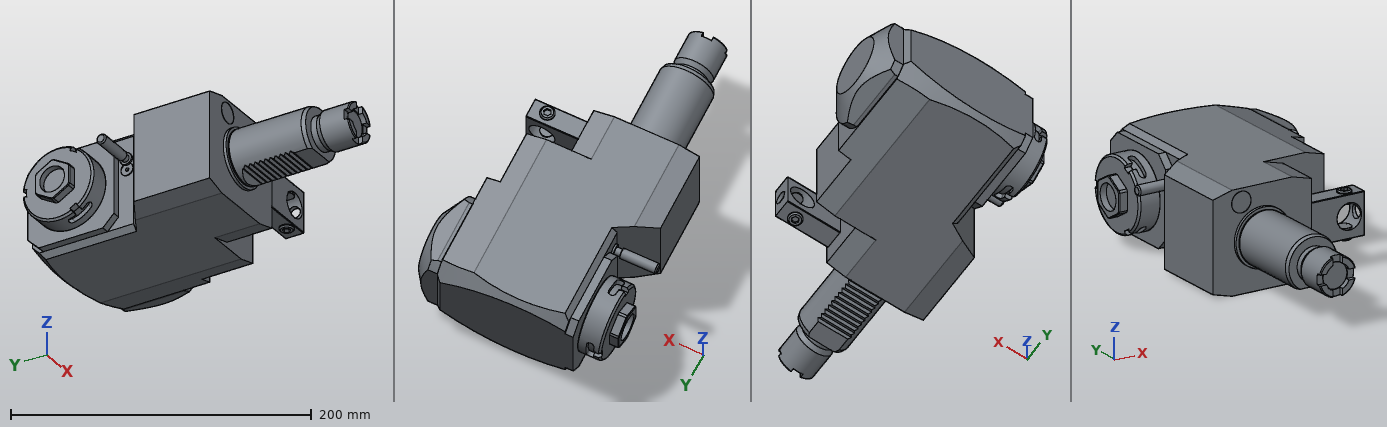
import cadquery as cq
import math


OVERALL_LENGTH = 247.0

HALF_HEIGHT = 37.5
LEFT_X = -38.8
FOOT_RIGHT_X = 39.5
WAIST_RIGHT_X = 72.1
HEAD_LEFT_X = -14.3
HEAD_RIGHT_X = 82.0
WAIST_Y = 35.0
HEAD_Y = 74.8
TOP_Y = 154.0
SIDE_TAPER = math.tan(math.radians(15))
FOOT_TAPER_RUN = 15.3
HEAD_TAPER_X = 57.3
HEAD_BEVEL = 4.0
SLANT_Y = 59.3
CORNER_BEVEL = 3.7
CROWN_RADIUS = 123.5
CROWN_X = 22.2
CROWN_HALF_HEIGHT = HALF_HEIGHT - HEAD_BEVEL

SPINDLE_Y = 120.0
PLATE_THICKNESS = 6.0
PLATE_HALF_HEIGHT = HALF_HEIGHT - HEAD_BEVEL
PLATE_BOTTOM_Y = 86.5
PLATE_BEVEL = 8.6
NUT_RADIUS = 27.7
NUT_LENGTH = 17.0
NUT_BEVEL = 1.5
NUT_BASE_BEVEL = 0.5
NUT_SLOT_DEPTH = 3.5
NUT_SLOT_WIDTH = 5.5
NUT_SLOT_OFFSET = 5.2
NUT_SLOT_LENGTH = 19.8
HEX_FLATS = 27.0
HEX_LENGTH = 6.7
HEX_CORNER_BEVEL = 1.1
HEX_FACE_BEVEL = 0.62
HEX_BORE_RADIUS = 9.6
HEX_BORE_DEPTH = 5.0

CAP_RADIUS = 38.0
CAP_END_RADIUS = 21.7
CAP_RIM_LENGTH = 7.0
CAP_LENGTH = 18.0
CAP_HALF_HEIGHT = 29.6
CAP_FLAT_LENGTH = 2.7

PIN_Y = 80.0
PIN_Z = 17.3
PIN_RADIUS = 3.7
PIN_TIP_X = -47.2
PIN_BEVEL = 1.0
PIN_NECK_RADIUS = 2.7
PIN_NECK_LENGTH = 4.5
PIN_COLLAR_RADIUS = 4.5
PIN_COLLAR_LENGTH = 1.5
PORT_Z = 10.0
PORT_RADIUS = 4.7
PORT_DEPTH = 0.5
NOZZLE_RADIUS = 1.2
NOZZLE_DEPTH = 2.5

FLANGE_RADIUS = 21.7
FLANGE_LENGTH = 2.2
UNDERCUT_RADIUS = 19.5
UNDERCUT_END_Y = -3.2
SHANK_RADIUS = 20.0
SHANK_END_Y = -62.7
SHANK_BEVEL = 1.0
SHANK_BEVEL_LENGTH = 3.0
RACK_FLAT_Z = -16.0
RACK_RAMP_Y = -5.2
RACK_PITCH = 4.0
RACK_TOOTH_DEPTH = 1.2
RACK_START_Y = -11.9
RACK_TEETH = 10

NECK_RADIUS = 12.5
NECK_END_Y = -67.2
COUPLING_RADIUS = 14.5
COUPLING_SHOULDER_Y = -71.0
COUPLING_END_Y = TOP_Y - OVERALL_LENGTH
COUPLING_BEVEL = 0.7
COUPLING_BORE_RADIUS = 9.6
COUPLING_BORE_DEPTH = 4.0
DRIVE_SLOT_WIDTH = 7.7
DRIVE_SLOT_DEPTH = 3.2

PLUG_X = -16.0
PLUG_Z = 27.7
PLUG_RADIUS = 7.7
PLUG_DEPTH = 0.2

ARM_BOTTOM_Y = 1.2
ARM_TOP_Y = 15.8
ARM_HALF_HEIGHT = 15.8
ARM_BEVEL = 0.5
ARM_HOLE_X = 70.1
ARM_HOLE_RADIUS = 9.6
SIDE_HOLE_RADIUS = 4.7
SCREW_Y = 7.5
SCREW_RADIUS = 5.2
SCREW_INNER_Z = 8.5
SCREW_OUTER_Z = 17.5
SCREW_BEVEL = 1.0
SOCKET_FLATS = 4.7
SOCKET_DEPTH = 5.0


def x_cylinder(radius, x_start, x_end, y, z):
    return cq.Workplane("YZ", origin=(x_start, y, z)).circle(radius).extrude(x_end - x_start)


def y_cylinder(radius, y_start, y_end, x, z):
    return cq.Workplane("XZ", origin=(x, y_start, z)).circle(radius).extrude(y_start - y_end)


def bar(y_start, y_end, left, right):
    """Bar along Y, symmetric about Z = 0; left and right each hold (side X, shoulder X, side half height)."""
    left_x, left_shoulder, left_z = left
    right_x, right_shoulder, right_z = right
    outline = [
        (left_x, -left_z),
        (left_shoulder, -HALF_HEIGHT),
        (right_shoulder, -HALF_HEIGHT),
        (right_x, -right_z),
        (right_x, right_z),
        (right_shoulder, HALF_HEIGHT),
        (left_shoulder, HALF_HEIGHT),
        (left_x, left_z),
    ]
    return cq.Workplane("XZ", origin=(0, y_start, 0)).polyline(outline).close().extrude(y_start - y_end)


def tapered_side(side_x, shoulder_x):
    return side_x, shoulder_x, HALF_HEIGHT - abs(side_x - shoulder_x) * SIDE_TAPER


def make_housing():
    foot_left = tapered_side(LEFT_X, LEFT_X + FOOT_TAPER_RUN)
    foot_right = tapered_side(FOOT_RIGHT_X, FOOT_RIGHT_X - FOOT_TAPER_RUN)
    waist_right = tapered_side(WAIST_RIGHT_X, HEAD_TAPER_X)
    head_left = (HEAD_LEFT_X, HEAD_LEFT_X + HEAD_BEVEL, HALF_HEIGHT - HEAD_BEVEL)
    head_right = tapered_side(HEAD_RIGHT_X, HEAD_TAPER_X)

    slant = (
        cq.Workplane("XY", origin=(0, 0, -HALF_HEIGHT))
        .polyline([(LEFT_X, SLANT_Y), (HEAD_LEFT_X + HEAD_BEVEL, HEAD_Y), (LEFT_X, HEAD_Y)])
        .close()
        .extrude(2 * HALF_HEIGHT)
    )
    corner = (
        cq.Workplane("XY", origin=(0, 0, -HALF_HEIGHT))
        .polyline([
            (HEAD_RIGHT_X, TOP_Y),
            (HEAD_RIGHT_X - CORNER_BEVEL, TOP_Y),
            (HEAD_RIGHT_X, TOP_Y - CORNER_BEVEL),
        ])
        .close()
        .extrude(2 * HALF_HEIGHT)
    )
    waist = bar(WAIST_Y, HEAD_Y, foot_left, waist_right).cut(slant)
    head = bar(HEAD_Y, TOP_Y, head_left, head_right).cut(corner)

    head_length = TOP_Y - HEAD_Y
    for side in (1, -1):
        crown = cq.Solid.makeCone(
            CROWN_RADIUS + head_length,
            CROWN_RADIUS,
            head_length,
            pnt=cq.Vector(CROWN_X, HEAD_Y, side * (CROWN_HALF_HEIGHT - CROWN_RADIUS)),
            dir=cq.Vector(0, 1, 0),
        )
        head = head.intersect(cq.Workplane(crown))

    plug = y_cylinder(PLUG_RADIUS, 0, PLUG_DEPTH, PLUG_X, PLUG_Z)
    return bar(0, WAIST_Y, foot_left, foot_right).cut(plug).union(waist).union(head)


def make_plate():
    return (
        cq.Workplane("YZ", origin=(HEAD_LEFT_X, (TOP_Y + PLATE_BOTTOM_Y) / 2, 0))
        .rect(TOP_Y - PLATE_BOTTOM_Y, 2 * PLATE_HALF_HEIGHT)
        .extrude(-PLATE_THICKNESS)
        .edges("|X")
        .chamfer(PLATE_BEVEL)
    )


def make_nut():
    base_x = HEAD_LEFT_X - PLATE_THICKNESS
    face_x = base_x - NUT_LENGTH
    nut = (
        x_cylinder(NUT_RADIUS, base_x, face_x, SPINDLE_Y, 0)
        .faces("<X")
        .chamfer(NUT_BEVEL)
        .faces(">X")
        .chamfer(NUT_BASE_BEVEL)
    )

    floor_radius = NUT_RADIUS - NUT_SLOT_DEPTH
    slot_x = face_x + NUT_SLOT_OFFSET + NUT_SLOT_WIDTH / 2
    reach = 2 * NUT_RADIUS
    core = x_cylinder(floor_radius, base_x, face_x, 0, 0)
    slot = (
        cq.Workplane("XZ", origin=(slot_x, 0, 0))
        .slot2D(NUT_SLOT_LENGTH, NUT_SLOT_WIDTH, 90)
        .extrude(-reach)
        .cut(core)
    )
    notch = (
        cq.Workplane("XY")
        .box(NUT_SLOT_OFFSET + NUT_SLOT_WIDTH / 2, reach, NUT_SLOT_WIDTH, centered=(False, False, True))
        .translate((face_x, floor_radius, 0))
    )
    slot = slot.union(notch)
    for angle in (0, 120, 240):
        nut = nut.cut(slot.rotate((0, 0, 0), (1, 0, 0), angle).translate((0, SPINDLE_Y, 0)))

    hexagon = (
        cq.Workplane("YZ", origin=(face_x, SPINDLE_Y, 0))
        .transformed(rotate=(0, 0, 90))
        .polygon(6, HEX_FLATS / math.cos(math.pi / 6))
        .extrude(-HEX_LENGTH)
        .edges("|X")
        .chamfer(HEX_CORNER_BEVEL)
        .faces("<X")
        .chamfer(HEX_FACE_BEVEL)
    )
    end_x = face_x - HEX_LENGTH
    bore = x_cylinder(HEX_BORE_RADIUS, end_x, end_x + HEX_BORE_DEPTH, SPINDLE_Y, 0)
    return nut.union(hexagon).cut(bore)


def make_cap():
    dome = (
        cq.Workplane("XY")
        .polyline([
            (HEAD_RIGHT_X, SPINDLE_Y),
            (HEAD_RIGHT_X, SPINDLE_Y + CAP_RADIUS),
            (HEAD_RIGHT_X + CAP_RIM_LENGTH, SPINDLE_Y + CAP_RADIUS),
            (HEAD_RIGHT_X + CAP_LENGTH, SPINDLE_Y + CAP_END_RADIUS),
            (HEAD_RIGHT_X + CAP_LENGTH, SPINDLE_Y),
        ])
        .close()
        .revolve(360, (0, SPINDLE_Y, 0), (1, SPINDLE_Y, 0))
    )
    end_half_height = CAP_HALF_HEIGHT - (CAP_LENGTH - CAP_FLAT_LENGTH) * SIDE_TAPER
    envelope = (
        cq.Workplane("XZ", origin=(HEAD_RIGHT_X, TOP_Y - CORNER_BEVEL, 0))
        .polyline([
            (0, -CAP_HALF_HEIGHT),
            (CAP_FLAT_LENGTH, -CAP_HALF_HEIGHT),
            (CAP_LENGTH, -end_half_height),
            (CAP_LENGTH, end_half_height),
            (CAP_FLAT_LENGTH, CAP_HALF_HEIGHT),
            (0, CAP_HALF_HEIGHT),
        ])
        .close()
        .extrude(TOP_Y)
    )
    return dome.intersect(envelope)


def make_pin():
    collar_x = HEAD_LEFT_X - PIN_COLLAR_LENGTH
    neck_x = collar_x - PIN_NECK_LENGTH
    collar = x_cylinder(PIN_COLLAR_RADIUS, HEAD_LEFT_X, collar_x, PIN_Y, PIN_Z)
    neck = x_cylinder(PIN_NECK_RADIUS, collar_x, neck_x, PIN_Y, PIN_Z)
    rod = x_cylinder(PIN_RADIUS, neck_x, PIN_TIP_X, PIN_Y, PIN_Z).faces("<X").chamfer(PIN_BEVEL)
    return collar.union(neck).union(rod)


def make_shank():
    shank = (
        cq.Workplane("XY")
        .polyline([
            (0, 0),
            (FLANGE_RADIUS, 0),
            (FLANGE_RADIUS, -FLANGE_LENGTH),
            (UNDERCUT_RADIUS, -FLANGE_LENGTH),
            (UNDERCUT_RADIUS, UNDERCUT_END_Y),
            (SHANK_RADIUS, UNDERCUT_END_Y),
            (SHANK_RADIUS, SHANK_END_Y + SHANK_BEVEL_LENGTH),
            (SHANK_RADIUS - SHANK_BEVEL, SHANK_END_Y),
            (NECK_RADIUS, SHANK_END_Y),
            (NECK_RADIUS, NECK_END_Y),
            (COUPLING_RADIUS, COUPLING_SHOULDER_Y),
            (COUPLING_RADIUS, COUPLING_END_Y + COUPLING_BEVEL),
            (COUPLING_RADIUS - COUPLING_BEVEL, COUPLING_END_Y),
            (0, COUPLING_END_Y),
        ])
        .close()
        .revolve(360, (0, 0, 0), (0, 1, 0))
    )

    below_z = -SHANK_RADIUS
    ramp = RACK_FLAT_Z - below_z
    flat = (
        cq.Workplane("YZ", origin=(-SHANK_RADIUS, 0, 0))
        .polyline([
            (RACK_RAMP_Y, below_z),
            (RACK_RAMP_Y - ramp, RACK_FLAT_Z),
            (SHANK_END_Y, RACK_FLAT_Z),
            (SHANK_END_Y, below_z),
        ])
        .close()
        .extrude(2 * SHANK_RADIUS)
    )
    shank = shank.cut(flat)
    for tooth in range(RACK_TEETH):
        groove_y = RACK_START_Y - tooth * RACK_PITCH
        groove = (
            cq.Workplane("YZ", origin=(-SHANK_RADIUS, groove_y, RACK_FLAT_Z))
            .polyline([(-RACK_PITCH / 2, 0), (0, RACK_TOOTH_DEPTH), (RACK_PITCH / 2, 0)])
            .close()
            .extrude(2 * SHANK_RADIUS)
        )
        shank = shank.cut(groove)

    bore = y_cylinder(COUPLING_BORE_RADIUS, COUPLING_END_Y, COUPLING_END_Y + COUPLING_BORE_DEPTH, 0, 0)
    cross = (
        cq.Workplane("XZ", origin=(0, COUPLING_END_Y + DRIVE_SLOT_DEPTH, 0))
        .rect(2 * COUPLING_RADIUS, DRIVE_SLOT_WIDTH)
        .extrude(DRIVE_SLOT_DEPTH)
    )
    return shank.cut(bore).cut(cross).cut(cross.rotate((0, 0, 0), (0, 1, 0), 90))


def make_arm():
    arm = (
        cq.Workplane("XY", origin=(FOOT_RIGHT_X, ARM_BOTTOM_Y, -ARM_HALF_HEIGHT))
        .box(HEAD_RIGHT_X - FOOT_RIGHT_X, ARM_TOP_Y - ARM_BOTTOM_Y, 2 * ARM_HALF_HEIGHT, centered=False)
        .edges("|X")
        .chamfer(ARM_BEVEL)
    )
    arm = arm.cut(y_cylinder(ARM_HOLE_RADIUS, ARM_BOTTOM_Y, ARM_TOP_Y, ARM_HOLE_X, 0))
    arm = arm.cut(x_cylinder(SIDE_HOLE_RADIUS, ARM_HOLE_X, HEAD_RIGHT_X, SCREW_Y, 0))

    screw = (
        cq.Workplane("XY", origin=(ARM_HOLE_X, SCREW_Y, SCREW_INNER_Z))
        .circle(SCREW_RADIUS)
        .extrude(SCREW_OUTER_Z - SCREW_INNER_Z)
        .faces(">Z")
        .chamfer(SCREW_BEVEL)
        .faces(">Z")
        .workplane()
        .polygon(6, SOCKET_FLATS / math.cos(math.pi / 6))
        .cutBlind(-SOCKET_DEPTH)
    )
    return arm.union(screw).union(screw.mirror("XY"))


def make_port():
    """Shallow round port beside the coolant pin, with a small nozzle hole in its floor."""
    port = x_cylinder(PORT_RADIUS, HEAD_LEFT_X, HEAD_LEFT_X + PORT_DEPTH, PIN_Y, PORT_Z)
    return port.union(x_cylinder(NOZZLE_RADIUS, HEAD_LEFT_X, HEAD_LEFT_X + NOZZLE_DEPTH, PIN_Y, PORT_Z))


result = make_housing().cut(make_port())
for piece in (make_plate(), make_nut(), make_cap(), make_pin(), make_shank(), make_arm()):
    result = result.union(piece)